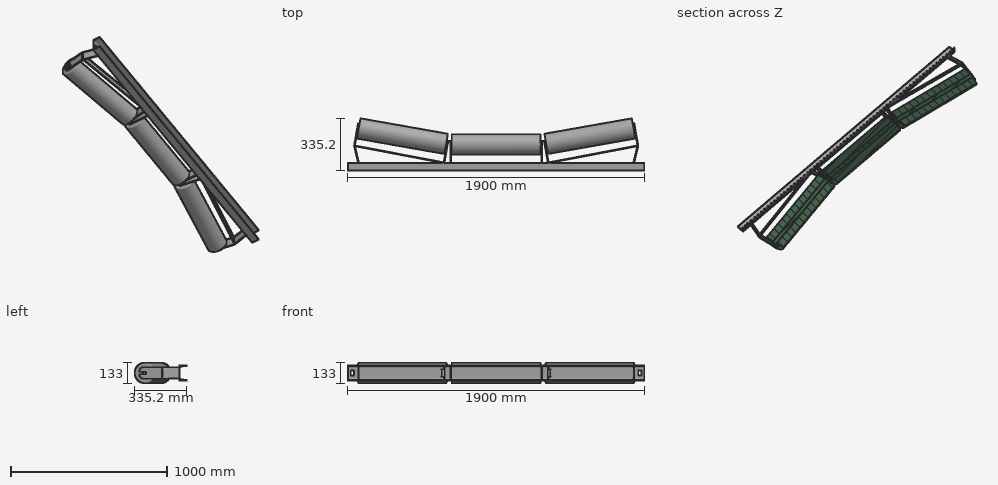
import cadquery as cq
import math

roller_diameter = 133.0
roller_length = 570.0
roller_edge_radius = 5.0
axle_diameter = 20.0
axle_flat_width = 17.0
trough_angle = 10.0
middle_roller_y = 118.0
outer_roller_x = 600.0
outer_roller_y = 171.0

beam_length = 1900.0
beam_height = 99.0
beam_depth = 50.0
beam_web = 5.0
beam_flange_tip = 5.0
beam_flange_taper = 0.08
beam_root_radius = 8.0
mount_slot_x = 922.0
mount_slot_width = 19.0
mount_slot_height = 30.0
mount_slot_corner_radius = 4.0

plate_thickness = 6.6
plate_height = 75.0
plate_clearance = 4.0
bridge_y = 142.0
tip_above_axle = 32.0
tip_corner_radius = 25.0
bend_below_axle = 114.0
outer_foot_x = 882.0
strut_thickness = 5.0
strut_height = 50.0
strut_inner_x = 332.0

stations = [-1, 0, 1]
plate_offset = roller_length / 2 + plate_clearance + plate_thickness / 2
axle_length = 2 * (plate_offset + plate_thickness / 2)
slot_length = 2 * plate_height
tilt_cos = math.cos(math.radians(trough_angle))
tilt_sin = math.sin(math.radians(trough_angle))


def bar(outline, length):
    """Extrude an outline to a given length, centred on its sketch plane."""
    return outline.extrude(length).translate(outline.plane.zDir * (-length / 2))


def round_bar(diameter, length):
    """Cylinder along X, centred on the origin."""
    return bar(cq.Workplane("YZ").circle(diameter / 2), length)


def outer_point(along, above):
    """Plan point of the right-hand station: along its axle, and square to it."""
    return (
        outer_roller_x + along * tilt_cos - above * tilt_sin,
        outer_roller_y + along * tilt_sin + above * tilt_cos,
    )


def place(body, station):
    """Move a body from the origin to the left (-1), middle (0) or right (1) station."""
    y = outer_roller_y if station else middle_roller_y
    turned = body.rotate((0, 0, 0), (0, 0, 1), station * trough_angle)
    return turned.translate((station * outer_roller_x, y, 0))


def strip(path, thickness, height):
    """Flat bar bent along a plan path, with mitred bends."""
    headings = [math.atan2(b[1] - a[1], b[0] - a[0]) for a, b in zip(path, path[1:])]
    left, right = [], []
    for i, (x, y) in enumerate(path):
        before = headings[max(i - 1, 0)]
        after = headings[min(i, len(headings) - 1)]
        normal = (before + after + math.pi) / 2
        reach = thickness / 2 / math.cos((after - before) / 2)
        dx = reach * math.cos(normal)
        dy = reach * math.sin(normal)
        left.append((x + dx, y + dy))
        right.append((x - dx, y - dy))
    outline = cq.Workplane("XY").polyline(left + right[::-1]).close()
    return bar(outline, height)


def make_roller():
    roller = round_bar(roller_diameter, roller_length)
    roller = roller.faces("<X or >X").edges().fillet(roller_edge_radius)
    return roller.cut(round_bar(axle_diameter, roller_length))


def make_axle():
    axle = round_bar(axle_diameter, axle_length)
    flats = cq.Workplane("XY").box(axle_length, axle_diameter, axle_flat_width)
    core = cq.Workplane("XY").box(roller_length, axle_diameter, axle_diameter)
    return axle.intersect(flats.union(core))


def make_beam():
    half = beam_height / 2
    tip_z = half - beam_flange_tip
    root_z = tip_z - beam_flange_taper * (beam_depth - beam_web)
    profile = (
        cq.Workplane("YZ")
        .moveTo(0, -half)
        .lineTo(0, half)
        .lineTo(-beam_depth, half)
        .lineTo(-beam_depth, tip_z)
        .lineTo(-beam_web, root_z)
        .lineTo(-beam_web, -root_z)
        .lineTo(-beam_depth, -tip_z)
        .lineTo(-beam_depth, -half)
        .close()
    )
    beam = bar(profile, beam_length)
    for z in (-root_z, root_z):
        root = cq.selectors.NearestToPointSelector((0, -beam_web, z))
        beam = beam.edges("|X").edges(root).fillet(beam_root_radius)
    slot = cq.Workplane("XY").box(mount_slot_width, beam_depth, mount_slot_height)
    slot = slot.edges("|Y").fillet(mount_slot_corner_radius)
    for x in (-mount_slot_x, mount_slot_x):
        beam = beam.cut(slot.translate((x, 0, 0)))
    return beam


def make_inner_bracket():
    """Folded bracket between the middle roller and the right-hand roller."""
    fold_y = bridge_y - plate_thickness / 2
    above_fold = (fold_y - outer_roller_y + plate_offset * tilt_sin) / tilt_cos
    above_foot = (-outer_roller_y + plate_offset * tilt_sin) / tilt_cos
    path = [
        (plate_offset, 0),
        (plate_offset, fold_y),
        outer_point(-plate_offset, above_fold),
        outer_point(-plate_offset, above_foot),
    ]
    return strip(path, plate_thickness, plate_height)


def make_outer_bracket():
    """Bent end bracket of the right-hand roller, with rounded tip corners."""
    path = [
        (outer_foot_x, 0),
        outer_point(plate_offset, -bend_below_axle),
        outer_point(plate_offset, tip_above_axle),
    ]
    across = cq.selectors.ParallelDirSelector(cq.Vector(tilt_cos, tilt_sin, 0))
    return strip(path, plate_thickness, plate_height).edges(across).fillet(tip_corner_radius)


def make_strut():
    """Brace from the beam up to the bend of the outer bracket."""
    path = [(strut_inner_x, 0), outer_point(plate_offset, -bend_below_axle)]
    return strip(path, strut_thickness, strut_height)


def make_axle_slots():
    """Slots that take both axle ends and open upward, away from the beam."""
    channel = cq.Workplane("XY").box(axle_length, slot_length, axle_flat_width)
    throat = channel.translate((0, slot_length / 2, 0))
    seat = round_bar(axle_diameter, axle_length).intersect(channel)
    return throat.union(seat)


def make_frame():
    """Welded frame: beam, four brackets and two struts in one body."""
    supports = make_inner_bracket().union(make_outer_bracket()).union(make_strut())
    above_beam = cq.Workplane("XY").box(beam_length, beam_length, beam_height)
    supports = supports.intersect(above_beam.translate((0, beam_length / 2, 0)))
    frame = make_beam().union(supports).union(supports.mirror("YZ"))
    for station in stations:
        frame = frame.cut(place(make_axle_slots(), station))
    return frame


frame = make_frame()
rollers = [place(make_roller(), station) for station in stations]
axles = [place(make_axle(), station) for station in stations]

result = cq.Compound.makeCompound(
    [frame.val()] + [roller.val() for roller in rollers] + [axle.val() for axle in axles]
)